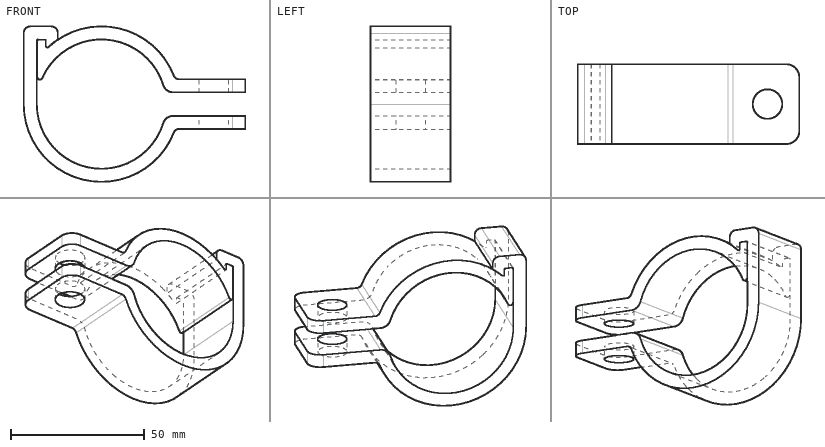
import cadquery as cq
import math

width = 30.0
thickness = 5.0
outer_radius = 29.2
inner_radius = outer_radius - thickness

total_length = 83.1
ear_end_x = total_length - outer_radius
ear_gap = 8.7
ear_inner_z = ear_gap / 2
ear_outer_z = ear_inner_z + thickness
ear_corner_radius = 5.0
outer_bend_radius = 2.0
inner_bend_radius = 4.0
bolt_hole_diameter = 11.0
bolt_hole_to_end = 12.0

head_right_x = -16.3
head_corner_radius = 2.6
lip_left_x = -20.8
lip_bottom_z = 21.2
joint_radius = 0.5
wall_clearance = 0.125
tongue_tip_radius = 1.0
lip_tip_x = -math.sqrt(outer_radius**2 - lip_bottom_z**2)
head_right_z = math.sqrt(outer_radius**2 - head_right_x**2)

tongue_left_x = -inner_radius + wall_clearance

joint_corners = [
    (-inner_radius, inner_radius),
    (lip_left_x, inner_radius),
    (lip_left_x, lip_bottom_z),
    (lip_tip_x, lip_bottom_z),
]


def on_circle(radius, angle):
    """Point on a circle about the ring axis, angle in radians from +X."""
    return (radius * math.cos(angle), radius * math.sin(angle))


def angle_of(point):
    return math.atan2(point[1], point[0])


def bend(ring_radius, ear_z, bend_radius):
    """Bend from the ring to the upper ear: its ring end, its middle and its ear end."""
    center_z = ear_z + bend_radius
    center_x = math.sqrt((ring_radius + bend_radius) ** 2 - center_z**2)
    ring_angle = math.atan2(center_z, center_x)
    middle_angle = (ring_angle + math.pi + 1.5 * math.pi) / 2
    middle = (
        center_x + bend_radius * math.cos(middle_angle),
        center_z + bend_radius * math.sin(middle_angle),
    )
    return on_circle(ring_radius, ring_angle), middle, (center_x, ear_z)


def mirrored(points):
    """Points reflected to the lower half."""
    return [(x, -z) for x, z in points]


def extruded(profile):
    """Close an XZ profile and extrude it over the width, centered on Y = 0."""
    return profile.close().extrude(width / 2, both=True)


def round_edges(body, corners, radius):
    """Fillet the edges along Y that pass through the given XZ corners."""
    for x, z in corners:
        edge = cq.selectors.NearestToPointSelector((x, 0, z))
        body = body.edges("|Y").edges(edge).fillet(radius)
    return body


def finish_ear(body, ear_middle_z):
    """Round the free corners of an ear and drill its bolt hole."""
    hole = (
        cq.Workplane("XY", origin=(ear_end_x - bolt_hole_to_end, 0, ear_middle_z))
        .circle(bolt_hole_diameter / 2)
        .extrude(thickness / 2, both=True)
    )
    return body.edges("|Z and >X").fillet(ear_corner_radius).cut(hole)


outer_bend = bend(outer_radius, ear_outer_z, outer_bend_radius)
inner_bend = bend(inner_radius, ear_inner_z, inner_bend_radius)
ear_middle_z = (ear_inner_z + ear_outer_z) / 2


def make_upper_half():
    """Upper arc with its ear and the tongue that hooks under the lip."""
    tongue_corners = [(tongue_left_x, inner_radius), *joint_corners[1:]]
    tip_center_x = tongue_left_x + tongue_tip_radius
    tip_center_z = math.sqrt((inner_radius + tongue_tip_radius) ** 2 - tip_center_x**2)
    tip_end = on_circle(inner_radius, angle_of((tip_center_x, tip_center_z)))
    ring_end, bend_middle, ear_start = inner_bend
    profile = (
        cq.Workplane("XZ")
        .polyline(tongue_corners)
        .threePointArc((0, outer_radius), outer_bend[0])
        .threePointArc(*outer_bend[1:])
        .lineTo(ear_end_x, ear_outer_z)
        .lineTo(ear_end_x, ear_inner_z)
        .lineTo(*ear_start)
        .threePointArc(bend_middle, ring_end)
        .threePointArc((0, inner_radius), tip_end)
        .threePointArc((tip_center_x, tip_center_z - tongue_tip_radius), (tongue_left_x, tip_center_z))
    )
    body = round_edges(extruded(profile), tongue_corners, joint_radius)
    return finish_ear(body, ear_middle_z)


def make_lower_half():
    """Lower arc with its ear, the straight wall and the hooked head."""
    outer_ring_end, outer_middle, outer_ear_start = mirrored(outer_bend)
    inner_ring_end, inner_middle, inner_ear_start = mirrored(inner_bend)
    head_corners = [(-outer_radius, outer_radius), (head_right_x, outer_radius)]
    head_right = (head_right_x, head_right_z)
    lip_tip = joint_corners[-1]
    lip_middle_angle = (angle_of(head_right) + angle_of(lip_tip)) / 2
    profile = (
        cq.Workplane("XZ")
        .polyline([(-outer_radius, 0), *head_corners, head_right])
        .threePointArc(on_circle(outer_radius, lip_middle_angle), lip_tip)
        .lineTo(*joint_corners[2])
        .lineTo(*joint_corners[1])
        .lineTo(*joint_corners[0])
        .lineTo(-inner_radius, 0)
        .threePointArc((0, -inner_radius), inner_ring_end)
        .threePointArc(inner_middle, inner_ear_start)
        .lineTo(ear_end_x, -ear_inner_z)
        .lineTo(ear_end_x, -ear_outer_z)
        .lineTo(*outer_ear_start)
        .threePointArc(outer_middle, outer_ring_end)
        .threePointArc((0, -outer_radius), (-outer_radius, 0))
    )
    body = round_edges(extruded(profile), head_corners, head_corner_radius)
    body = round_edges(body, joint_corners, joint_radius)
    return finish_ear(body, -ear_middle_z)


upper_half = make_upper_half()
lower_half = make_lower_half()

result = cq.Compound.makeCompound([upper_half.val(), lower_half.val()])